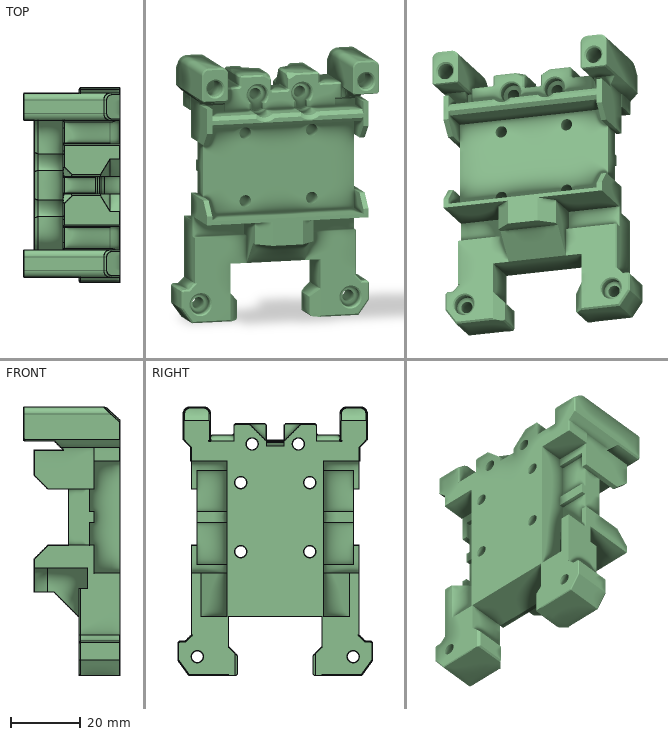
import cadquery as cq
depth = 28.1
foot_half = 28.2
height = 77.8
edge_break = 0.5
back_break = 0.2

core_front = 13.1
core_back = 19.2
core_half = 22.7
rib_half = 13.9
core_hole_dia = 3.4
core_hole_y = 9.99
core_hole_zs = (35.85, 55.8)
tab_z0 = 44.25
tab_z1 = 47.45

lip_front = 3.1
plate_back = 20.5
plate_half = 24.3
plate_chamfer = 4.05
upper_plate_z0 = 54.0
upper_plate_z1 = 65.25
lower_plate_z1 = 37.7

upper_lip_z0 = 59.4
upper_lip_z1 = 62.8
upper_lip_chamfer = 1.1
lower_lip_z0 = 31.1
lower_lip_z1 = 32.2

head_front = 11.5
head_half = 24.5
head_z0 = 62.05
head_shoulder_z = 66.0
step_z = 69.7
step_round = 2.95
raised_z = 72.95
raised_half = 12.0
notch_half = 2.6
notch_z = 68.1
notch_xs = (20.9, 22.5, 23.6)
notch_drops = (0.6, 1.7)
front_corner_run = 3.1
front_corner_drop = 1.8
corner_web = 0.3
back_corner_x0 = 22.1
back_corner_x1 = 25.1
back_corner_drop = 5.05
recess_half = 16.6
recess_depth = 0.55

screw_dia = 3.4
seat_dia = 6.0
seat_depth = 2.8
seat_chamfer = 0.4
head_screw_y = 6.7
head_screw_z = 67.0
foot_screw_y = 22.55
foot_screw_z = 5.45
access_width = 3.4
access_chamfer = 0.7
groove_radius = 3.35
inner_groove_radius = 2.9
groove_z = 65.2

arm_inner = 18.75
arm_outer = 26.7
arm_z0 = 67.9
arm_round = 2.0
arm_front_break = 0.2
arm_bevel_x = 4.3
arm_bevel_z = 3.9
arm_hole_dia = 4.7
arm_hole_depth = 9.3
arm_hole_y = 22.7
arm_hole_z = 71.7
gusset_front = 9.0
gusset_inner = 19.75

leg_front = 16.1
leg_inner = 13.5
leg_top = 29.6
leg_break = 0.3
shelf_x = 18.6
shelf_z = 25.1
bridge_z = 17.0
relief_half = 21.55
foot_top_z = 11.75
foot_neck_y = 26.05
foot_shoulder_z = 9.95
foot_toe_z = 4.4
foot_toe_y = 25.05
wing_half = 10.9
back_wing_break = 0.7
wing_z = 8.3

bracket_half = 8.8
bracket_side_length = 4.0
bracket_tip_half = 4.5
bracket_z = 24.1
bracket_tip_length = 5.8


def near(x, y, z):
    return cq.selectors.NearestToPointSelector((x, y, z))


def block(x0, x1, y0, y1, z0, z1):
    return cq.Workplane("XY").box(x1 - x0, y1 - y0, z1 - z0, centered=False).translate((x0, y0, z0))


def side_profile(points, y0, y1):
    """Prism from (x, z) points, filling y0 to y1."""
    return cq.Workplane("XZ").polyline(points).close().extrude(-(y1 - y0)).translate((0, y0, 0))


def front_profile(points, x0, x1):
    """Prism from (y, z) points, filling x0 to x1."""
    return cq.Workplane("YZ").polyline(points).close().extrude(x1 - x0).translate((x0, 0, 0))


def plan_profile(points, z0, z1):
    """Prism from (x, y) points, filling z0 to z1."""
    return cq.Workplane("XY").polyline(points).close().extrude(z1 - z0).translate((0, 0, z0))


def rod(dia, x0, x1, y, z):
    return cq.Workplane("YZ").center(y, z).circle(dia / 2).extrude(x1 - x0).translate((x0, 0, 0))


def cone(dia0, dia1, x0, x1, y, z):
    """Cone along X with diameter dia0 at x0 and dia1 at x1."""
    solid = cq.Solid.makeCone(dia0 / 2, dia1 / 2, x1 - x0, cq.Vector(x0, y, z), cq.Vector(1, 0, 0))
    return cq.Workplane("XY").add(solid)


def tetrahedron(a, b, c, d):
    corners = ((a, b, c), (a, b, d), (a, c, d), (b, c, d))
    faces = [cq.Face.makeFromWires(cq.Wire.makePolygon(list(map(lambda p: cq.Vector(*p), t)), close=True))
             for t in corners]
    return cq.Workplane("XY").add(cq.Solid.makeSolid(cq.Shell.makeShell(faces)))


def screw_seat(x_front, y, z):
    """Through hole with a chamfered counterbore opening at x_front."""
    seat = rod(screw_dia, x_front, depth, y, z)
    seat = seat.union(rod(seat_dia, x_front, x_front + seat_depth, y, z))
    return seat.union(cone(seat_dia + 2 * seat_chamfer, seat_dia, x_front, x_front + seat_chamfer, y, z))



def core():
    body = block(core_front, core_back, 0, core_half, lower_lip_z0, upper_lip_z1)
    body = body.union(block(core_back, plate_back, 0, core_half, tab_z0, tab_z1))
    return body.union(block(core_back, depth, 0, rib_half, bridge_z, head_shoulder_z))


def side_plates():
    c = plate_chamfer
    upper = [
        (lip_front, upper_plate_z1), (plate_back, upper_plate_z1), (plate_back, upper_plate_z0),
        (lip_front + c, upper_plate_z0), (lip_front, upper_plate_z0 + c),
    ]
    lower = [
        (lip_front, lower_lip_z0), (plate_back, lower_lip_z0), (plate_back, lower_plate_z1),
        (lip_front + c, lower_plate_z1), (lip_front, lower_plate_z1 - c),
    ]
    return side_profile(upper, core_half, plate_half).union(side_profile(lower, core_half, plate_half))


def lips():
    c = upper_lip_chamfer
    upper = [
        (lip_front, upper_lip_z0 + c), (lip_front + c, upper_lip_z0), (plate_back, upper_lip_z0),
        (plate_back, upper_lip_z1), (lip_front + c, upper_lip_z1), (lip_front, upper_lip_z1 - c),
    ]
    lower = block(lip_front, plate_back, 0, core_half, lower_lip_z0, lower_lip_z1)
    return side_profile(upper, 0, core_half).union(lower)


def step_rounding():
    """Material outside the rounded back edge of the low steps."""
    start = depth - step_round
    corner = block(start, depth, raised_half, arm_inner, step_z - step_round, step_z + corner_web)
    barrel = cq.Workplane("XZ").center(start, step_z - step_round).circle(step_round)
    return corner.cut(barrel.extrude(-foot_half))


def head():
    w = corner_web
    outline = [
        (0, head_z0), (0, notch_z), (notch_half - w, notch_z), (notch_half, notch_z + w),
        (notch_half, raised_z), (raised_half, raised_z), (raised_half, step_z + w),
        (raised_half + w, step_z), (arm_inner, step_z), (arm_inner, head_z0),
    ]
    body = front_profile(outline, head_front, depth)
    body = body.faces("<X").edges("not (<Z or <Y)").chamfer(edge_break)
    middle = depth / 2
    for y, z in ((notch_half, raised_z), (raised_half, raised_z), (arm_inner, step_z)):
        body = body.edges("|X").edges(near(middle, y, z)).chamfer(edge_break)
    body = body.edges(near(depth, (notch_half + raised_half) / 2, raised_z)).chamfer(back_break)
    body = body.cut(step_rounding())
    front_corner = (head_front, notch_half, raised_z)
    body = body.cut(tetrahedron(
        front_corner,
        (head_front + front_corner_run, notch_half, raised_z),
        (head_front, notch_half + front_corner_run, raised_z),
        (head_front, notch_half, raised_z - front_corner_drop),
    ))
    top_corner = (back_corner_x1, notch_half, raised_z)
    wide_corner = (back_corner_x1, notch_half + back_corner_drop, raised_z)
    low_corner = (back_corner_x1, notch_half, raised_z - back_corner_drop)
    body = body.cut(tetrahedron(top_corner, (back_corner_x0, notch_half, raised_z), wide_corner, low_corner))
    body = body.cut(front_profile([p[1:] for p in (top_corner, wide_corner, low_corner)], back_corner_x1, depth))
    ramp = [
        (notch_xs[0], notch_z), (notch_xs[1], notch_z - notch_drops[0]),
        (notch_xs[2], notch_z - notch_drops[1]), (depth, notch_z - notch_drops[1]), (depth, raised_z),
        (notch_xs[1], raised_z), (notch_xs[1], notch_z + w), (notch_xs[0], notch_z + w),
    ]
    body = body.cut(side_profile(ramp, 0, notch_half))
    backing = block(head_front + edge_break, depth, 0, gusset_inner, upper_lip_z1, arm_z0)
    backing = backing.cut(block(back_corner_x0, depth, 0, notch_half, notch_z - notch_drops[1], arm_z0))
    body = body.union(backing)
    body = body.union(block(head_front, plate_back, 0, plate_half, upper_lip_z1, upper_plate_z1))
    rear = block(plate_back, depth, rib_half, head_half, head_z0, head_shoulder_z)
    return body.union(rear.edges("|Z and >X and >Y").chamfer(back_break))


def head_recess():
    """Shallow pocket above the lip with a sloped roof."""
    outline = [
        (head_front, upper_lip_z1), (head_front + recess_depth, upper_lip_z1),
        (head_front + recess_depth, upper_plate_z1 - recess_depth), (head_front, upper_plate_z1),
    ]
    return side_profile(outline, recess_half, core_half)


def driver_access():
    """Slot under the head screw seat and the groove that lets a driver reach it across the lip."""
    y, z = head_screw_y, groove_z
    half = access_width / 2
    slot = plan_profile([
        (head_front, y - half - access_chamfer), (head_front, y + half + access_chamfer),
        (head_front + access_chamfer, y + half), (head_front + seat_depth, y + half),
        (head_front + seat_depth, y - half), (head_front + access_chamfer, y - half),
    ], upper_lip_z1, head_screw_z)
    c = upper_lip_chamfer
    groove = rod(2 * groove_radius, lip_front, head_front, y, z)
    inner_groove = rod(2 * inner_groove_radius, head_front, head_front + seat_depth, y, z)
    inner_groove = inner_groove.union(cone(
        2 * groove_radius, 2 * inner_groove_radius, head_front, head_front + access_chamfer, y, z))
    inner_groove = inner_groove.intersect(block(0, depth, 0, raised_half, 0, upper_lip_z1))
    flare = cone(2 * (groove_radius + c), 2 * groove_radius, lip_front, lip_front + c, y, z)
    return slot.union(groove).union(inner_groove).union(flare)


def arm():
    body = block(0, depth, arm_inner, arm_outer, arm_z0, height)
    body = body.edges("|X and >Z").fillet(arm_round)
    bevel = [(depth, height - arm_bevel_z), (depth, height), (depth - arm_bevel_x, height)]
    body = body.cut(side_profile(bevel, arm_inner, arm_outer))
    body = body.faces(near(depth - arm_bevel_x / 2, arm_hole_y, height - arm_bevel_z / 2))
    body = body.edges("not <Z").chamfer(edge_break)
    body = body.edges("|X and <Z").chamfer(edge_break)
    body = body.edges("|Z and >X").chamfer(back_break)
    body = body.faces("<X").chamfer(arm_front_break, edge_break)
    body = body.cut(rod(arm_hole_dia, 0, arm_hole_depth, arm_hole_y, arm_hole_z))
    return body.cut(cone(arm_hole_dia + 2 * edge_break, arm_hole_dia, 0, edge_break, arm_hole_y, arm_hole_z))


def gusset():
    """Sloped web that carries the arm on the head block."""
    top = arm_z0 + edge_break
    outline = [
        (gusset_inner, upper_plate_z1), (gusset_inner, top), (arm_outer, top),
        (plate_half, top - arm_outer + plate_half), (plate_half, upper_plate_z1),
    ]
    body = front_profile(outline, 0, depth)
    drop = arm_z0 - upper_plate_z1
    front = [
        (gusset_front, arm_z0), (gusset_front + drop, upper_plate_z1),
        (depth, upper_plate_z1), (depth, top), (gusset_front, top),
    ]
    return body.intersect(side_profile(front, 0, foot_half))


def leg():
    outline = [
        (leg_inner, 0), (leg_inner, foot_top_z), (plate_half, foot_top_z), (foot_neck_y, foot_shoulder_z),
        (foot_half - edge_break, foot_shoulder_z), (foot_half, foot_shoulder_z - edge_break),
        (foot_half, foot_toe_z), (foot_toe_y, 0),
    ]
    foot = front_profile(outline, leg_front, depth)
    foot = foot.faces("<X").edges("not (<Y or >Z)").chamfer(edge_break)
    foot = foot.faces(">X").edges("not (<Y or >Z)").chamfer(back_break)
    body = block(leg_front, depth, leg_inner, plate_half, foot_top_z, shelf_z).union(foot)
    upper = block(shelf_x, depth, 0, plate_half, shelf_z, leg_top)
    upper = upper.union(block(shelf_x, plate_back, 0, plate_half, leg_top, lower_lip_z1))
    bridge = block(leg_front, depth, 0, leg_inner, bridge_z, shelf_z)
    relief_run = relief_half - rib_half
    relief = plan_profile(
        [(depth, relief_half), (depth - relief_run, rib_half), (depth, rib_half)], bridge_z, leg_top)
    return body.union(upper).union(bridge).cut(relief)


def foot_wing():
    side = leg_inner - wing_half
    outline = [(wing_half, 0), (wing_half, wing_z - side), (leg_inner, wing_z), (leg_inner, 0)]
    body = front_profile(outline, leg_front, depth)
    bevel = [(leg_front, leg_inner), (leg_front + side, wing_half), (leg_front, wing_half)]
    body = body.cut(plan_profile(bevel, 0, wing_z))
    body = body.edges("|Z and >X and <Y").chamfer(back_wing_break)
    return body.edges("<Z and <Y").chamfer(edge_break)


def bracket():
    plan = [
        (lip_front, 0), (lip_front, bracket_tip_half), (lip_front + bracket_side_length, bracket_half),
        (depth, bracket_half), (depth, 0),
    ]
    tip_end = lip_front + bracket_tip_length
    outline = [
        (lip_front, lower_lip_z0), (lip_front, bracket_z), (tip_end, bracket_z),
        (tip_end + bracket_z - bridge_z, bridge_z), (depth, bridge_z), (depth, lower_lip_z0),
    ]
    return plan_profile(plan, bridge_z, lower_lip_z0).intersect(side_profile(outline, 0, bracket_half))


half = core()
for feature in (side_plates(), lips(), head(), gusset(), arm(), leg(), foot_wing(), bracket()):
    half = half.union(feature)

half = half.cut(head_recess())
half = half.cut(driver_access())
half = half.cut(screw_seat(head_front, head_screw_y, head_screw_z))
half = half.cut(screw_seat(leg_front, foot_screw_y, foot_screw_z))
for hole_z in core_hole_zs:
    half = half.cut(rod(core_hole_dia, core_front, depth, core_hole_y, hole_z))

result = half.union(half.mirror("XZ"))

leg_corner = [
    (leg_front, -plate_half), (leg_front + edge_break, -plate_half), (leg_front, -plate_half + leg_break),
]
result = result.cut(plan_profile(leg_corner, foot_top_z, shelf_z)).clean()